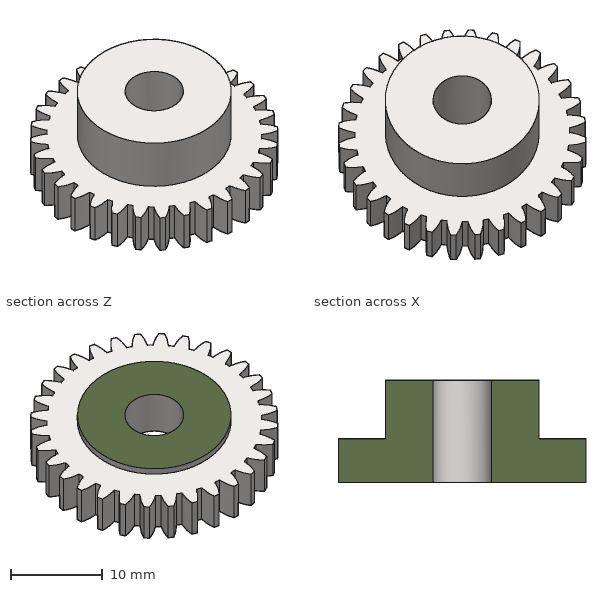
import cadquery as cq
import math

tooth_count = 32
outside_diameter = 27.0
pressure_angle = math.radians(20)
tooth_thickness = 1.27
root_tooth_width = 1.7
flank_points = 5
gear_width = 4.8

total_height = 11.17
hub_diameter = 16.8
bore_diameter = 6.35

dedendum_in_modules = 1.25
module = outside_diameter / (tooth_count + 2)
outside_radius = outside_diameter / 2
pitch_radius = module * tooth_count / 2
root_radius = pitch_radius - dedendum_in_modules * module
base_radius = pitch_radius * math.cos(pressure_angle)
tooth_pitch = 2 * math.pi / tooth_count


def involute(angle):
    """Polar angle swept by an involute where its pressure angle is the given angle."""
    return math.tan(angle) - angle


def half_tooth_angle(radius):
    """Half of the angle a tooth spans at a radius on its involute flank."""
    at_pitch = tooth_thickness / (2 * pitch_radius)
    return at_pitch + involute(pressure_angle) - involute(math.acos(base_radius / radius))


def polar(radius, angle):
    """X and Y of a point at a radius and angle about the gear axis."""
    return (radius * math.cos(angle), radius * math.sin(angle))


root_half_angle = math.asin(root_tooth_width / (2 * root_radius))
radial_step = (outside_radius - base_radius) / flank_points
flank_radii = [base_radius + step * radial_step for step in range(1, flank_points + 1)]


def add_tooth(outline, center):
    """Draw one tooth and the root arc after it, starting at the foot of its first flank."""
    rising = [polar(r, center - half_tooth_angle(r)) for r in flank_radii]
    falling = [polar(r, center + half_tooth_angle(r)) for r in reversed(flank_radii)]
    last_foot = polar(root_radius, center + root_half_angle)
    next_foot = polar(root_radius, center + tooth_pitch - root_half_angle)
    return (
        outline.spline(rising, includeCurrent=True)
        .threePointArc(polar(outside_radius, center), falling[0])
        .spline(falling[1:] + [last_foot], includeCurrent=True)
        .threePointArc(polar(root_radius, center + tooth_pitch / 2), next_foot)
    )


outline = cq.Workplane("XY").moveTo(*polar(root_radius, -root_half_angle))
for tooth in range(tooth_count):
    outline = add_tooth(outline, tooth * tooth_pitch)
gear = outline.close().extrude(gear_width)

hub = cq.Workplane("XY").circle(hub_diameter / 2).extrude(total_height)
bore = cq.Workplane("XY").circle(bore_diameter / 2).extrude(total_height)
result = gear.union(hub).cut(bore)